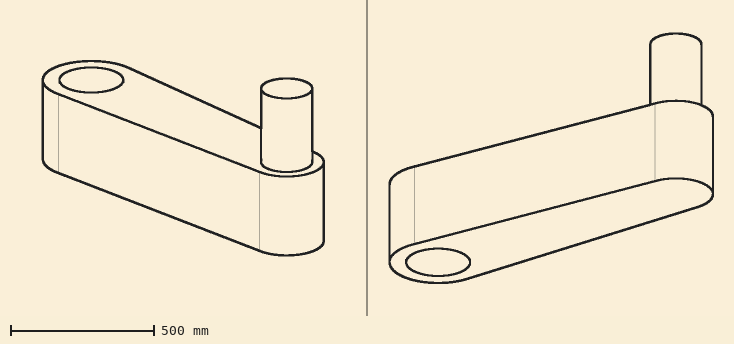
import cadquery as cq

total_length = 1300.0
total_height = 580.0
hub_radius = 170.0
tip_radius = 130.0
arm_thickness = 300.0
bore_diameter = 224.0
pin_diameter = 180.0

center_distance = total_length - hub_radius - tip_radius
pin_length = total_height - arm_thickness


def make_cylinder(radius, height, center_x=0, base_z=0):
    """Vertical cylinder whose base is centred at (center_x, 0, base_z)."""
    return cq.Workplane("XY", origin=(center_x, 0, base_z)).circle(radius).extrude(height)


def make_web():
    """Tapered web spanning the full widths of the hub and tip at their centres."""
    corners = [
        (0, hub_radius),
        (0, -hub_radius),
        (center_distance, -tip_radius),
        (center_distance, tip_radius),
    ]
    return cq.Workplane("XY").polyline(corners).close().extrude(arm_thickness)


def make_arm():
    """Crank arm: round hub and tip joined by the web, with a through bore in the hub."""
    hub = make_cylinder(hub_radius, arm_thickness)
    tip = make_cylinder(tip_radius, arm_thickness, center_distance)
    bore = make_cylinder(bore_diameter / 2, arm_thickness)
    return make_web().union(hub).union(tip).cut(bore)


def make_pin():
    """Crank pin standing on the top face of the arm, concentric with the tip."""
    return make_cylinder(pin_diameter / 2, pin_length, center_distance, arm_thickness)


arm = make_arm()
pin = make_pin()

result = cq.Compound.makeCompound([arm.solids().val(), pin.val()])